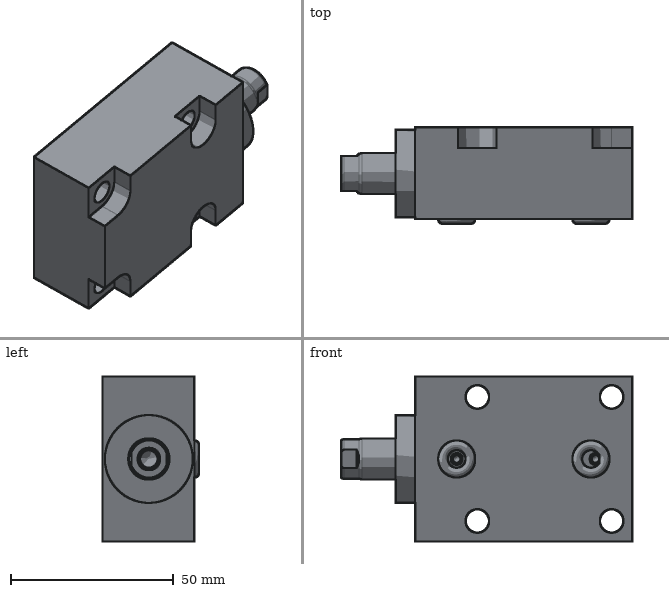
import cadquery as cq
import math

RING_SECTION = 3.0
RING_OUTER_DIAMETER = 11.4
RING_CENTRE_DIAMETER = RING_OUTER_DIAMETER - RING_SECTION
RING_PROTRUSION = RING_SECTION / 2

OVERALL_DEPTH = 29.77
BODY_LENGTH = 66.8
BODY_DEPTH = OVERALL_DEPTH - RING_PROTRUSION
BODY_HEIGHT = 50.8

HOLE_DIAMETER = 7.14
HOLE_NEAR_X = 19.15
HOLE_FAR_X = 60.4
HOLE_Z = 19.05
NOTCH_DIAMETER = 11.9
NOTCH_DEPTH = 6.4

OVERALL_LENGTH = 89.53
NOSE_LENGTH = OVERALL_LENGTH - BODY_LENGTH
NOSE_AXIS_Y = 13.97
FLANGE_DIAMETER = 27.0
FLANGE_LENGTH = 6.0
ROD_DIAMETER = 12.7
TIP_DIAMETER = 12.2
TIP_LENGTH = 5.5
TIP_TAPER_LENGTH = 0.9
TIP_ROUND_LENGTH = 0.9
TIP_ROUND_DEPTH = 0.35

FLAT_WIDTH = 10.8
FLAT_LENGTH = 4.75

BORE_MOUTH_DIAMETER = 6.9
BORE_TAPER_DIAMETER = 6.4
BORE_TAPER_END = 1.9
BORE_DIAMETER = 5.4
BORE_DEPTH = 12.0
DRILL_POINT_ANGLE = 118.0

PORT_NEAR_X = 12.8
PORT_FAR_X = 54.05
FAR_PORT_HOLE_OFFSET = 1.4
PORT_MOUTH_DIAMETER = 3.6
PORT_DIAMETER = 2.4
PORT_DEPTH = 6.0
PORT_POCKET_DIAMETER = RING_CENTRE_DIAMETER
PORT_POCKET_DEPTH = 1.3


def drill_point_length(diameter):
    """Axial length of the cone left by a drill of the given diameter."""
    return diameter / 2 / math.tan(math.radians(DRILL_POINT_ANGLE / 2))


def make_body():
    return cq.Workplane("XY").box(
        BODY_LENGTH, BODY_DEPTH, BODY_HEIGHT, centered=(False, False, True)
    )


def make_nose():
    """Flange and stepped rod, revolved about the X axis and moved to the nose axis."""
    taper_x = TIP_LENGTH - NOSE_LENGTH
    round_x = TIP_ROUND_LENGTH - NOSE_LENGTH
    tip_radius = TIP_DIAMETER / 2
    nose = (
        cq.Workplane("XY")
        .lineTo(0, FLANGE_DIAMETER / 2)
        .lineTo(-FLANGE_LENGTH, FLANGE_DIAMETER / 2)
        .lineTo(-FLANGE_LENGTH, ROD_DIAMETER / 2)
        .lineTo(taper_x + TIP_TAPER_LENGTH, ROD_DIAMETER / 2)
        .lineTo(taper_x, tip_radius)
        .lineTo(round_x, tip_radius)
        .tangentArcPoint((-NOSE_LENGTH, tip_radius - TIP_ROUND_DEPTH), relative=False)
        .lineTo(-NOSE_LENGTH, 0)
        .close()
        .revolve(360, (0, 0, 0), (1, 0, 0))
    )
    for side in (1, -1):
        nose = nose.cut(make_flat_cutter(side))
    return nose.cut(make_tip_bore()).translate((0, NOSE_AXIS_Y, 0))


def make_flat_cutter(side):
    """Material outside one wrench flat, on the +Y (side = 1) or -Y (side = -1) side."""
    inner = FLAT_WIDTH / 2
    outer = TIP_DIAMETER / 2
    ramp = outer - inner
    flat_end = FLAT_LENGTH - NOSE_LENGTH
    outline = [
        (-NOSE_LENGTH, side * inner),
        (flat_end, side * inner),
        (flat_end + ramp, side * outer),
        (-NOSE_LENGTH, side * outer),
    ]
    return cq.Workplane("XY").polyline(outline).close().extrude(ROD_DIAMETER / 2, both=True)


def make_tip_bore():
    chamfer = (BORE_MOUTH_DIAMETER - BORE_TAPER_DIAMETER) / 2
    section = [
        (0, 0),
        (0, BORE_MOUTH_DIAMETER / 2),
        (chamfer, BORE_TAPER_DIAMETER / 2),
        (BORE_TAPER_END, BORE_DIAMETER / 2),
        (BORE_DEPTH, BORE_DIAMETER / 2),
        (BORE_DEPTH + drill_point_length(BORE_DIAMETER), 0),
    ]
    bore = cq.Workplane("XY").polyline(section).close().revolve(360, (0, 0, 0), (1, 0, 0))
    return bore.translate((-NOSE_LENGTH, 0, 0))


def make_mounting_cutter(x, side, open_to_end):
    """Through hole plus a rear notch open to the top (side = 1) or bottom (side = -1).

    With open_to_end the notch also runs out through the +X end of the body.
    """
    z = side * HOLE_Z
    edge_gap = BODY_HEIGHT / 2 - HOLE_Z
    notch_plane = cq.Workplane("XZ", origin=(0, BODY_DEPTH - NOTCH_DEPTH, 0))
    hole = cq.Workplane("XZ").center(x, z).circle(HOLE_DIAMETER / 2).extrude(-BODY_DEPTH)
    notch = notch_plane.center(x, z).circle(NOTCH_DIAMETER / 2).extrude(-NOTCH_DEPTH)
    slot = (
        notch_plane.center(x, z + side * edge_gap / 2)
        .rect(NOTCH_DIAMETER, edge_gap)
        .extrude(-NOTCH_DEPTH)
    )
    cutter = hole.union(notch).union(slot)
    if open_to_end:
        end_gap = BODY_LENGTH - x
        corner_height = edge_gap + NOTCH_DIAMETER / 2
        corner = (
            notch_plane.center(x + end_gap / 2, side * (BODY_HEIGHT - corner_height) / 2)
            .rect(end_gap, corner_height)
            .extrude(-NOTCH_DEPTH)
        )
        cutter = cutter.union(corner)
    return cutter


def make_port_hole(x):
    """Blind drilled hole with a chamfered mouth in the floor of the port pocket."""
    chamfer = (PORT_MOUTH_DIAMETER - PORT_DIAMETER) / 2
    section = [
        (0, 0),
        (PORT_MOUTH_DIAMETER / 2, 0),
        (PORT_DIAMETER / 2, chamfer),
        (PORT_DIAMETER / 2, PORT_DEPTH),
        (0, PORT_DEPTH + drill_point_length(PORT_DIAMETER)),
    ]
    hole = cq.Workplane("XY").polyline(section).close().revolve(360, (0, 0, 0), (0, 1, 0))
    return hole.translate((x, PORT_POCKET_DEPTH, 0))


def make_port_pocket(x):
    """Round pocket in the port face, its wall buried under the ring."""
    pocket = cq.Workplane("XZ").center(x, 0).circle(PORT_POCKET_DIAMETER / 2)
    return pocket.extrude(-PORT_POCKET_DEPTH)


def make_ring(x):
    """O-ring centred in the plane of the port face."""
    ring = cq.Solid.makeTorus(
        RING_CENTRE_DIAMETER / 2, RING_SECTION / 2, cq.Vector(x, 0, 0), cq.Vector(0, 1, 0)
    )
    return cq.Workplane("XY").add(ring)


result = make_body().union(make_nose())

for side in (1, -1):
    result = result.cut(make_mounting_cutter(HOLE_NEAR_X, side, open_to_end=False))
    result = result.cut(make_mounting_cutter(HOLE_FAR_X, side, open_to_end=True))

for port_x, hole_offset in ((PORT_NEAR_X, 0), (PORT_FAR_X, FAR_PORT_HOLE_OFFSET)):
    result = result.cut(make_port_pocket(port_x))
    result = result.cut(make_port_hole(port_x + hole_offset))
    result = result.union(make_ring(port_x))